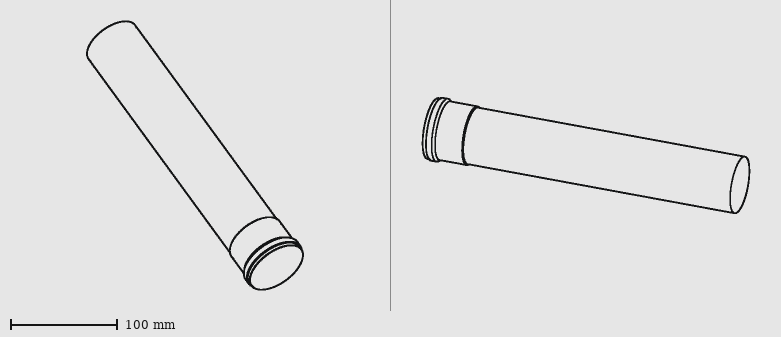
import cadquery as cq

pipe_diameter = 54.0
socket_diameter = 56.0
bead_diameter = 60.0
rim_diameter = 58.0

total_length = 304.9
rim_length = 3.5
bead_length = 6.0
bead_cone_length = 2.7
socket_length = 26.8
socket_cone_length = 1.0
rim_cone_length = 0.5
end_chamfer = 0.3

rim_start = total_length - rim_length
bead_end = rim_start - rim_cone_length
bead_start = rim_start - bead_length
socket_end = bead_start - bead_cone_length
socket_start = socket_end - socket_length
pipe_end = socket_start - socket_cone_length


def make_pipe():
    """Revolve the stepped half profile around the X axis."""
    profile = (
        cq.Workplane("XZ")
        .moveTo(0, 0)
        .lineTo(0, pipe_diameter / 2)
        .lineTo(pipe_end, pipe_diameter / 2)
        .lineTo(socket_start, socket_diameter / 2)
        .lineTo(socket_end, socket_diameter / 2)
        .lineTo(bead_start, bead_diameter / 2)
        .lineTo(bead_end, bead_diameter / 2)
        .lineTo(rim_start, rim_diameter / 2)
        .lineTo(total_length - end_chamfer, rim_diameter / 2)
        .lineTo(total_length, rim_diameter / 2 - end_chamfer)
        .lineTo(total_length, 0)
        .close()
    )
    return profile.revolve(360, (0, 0, 0), (1, 0, 0))


result = make_pipe()